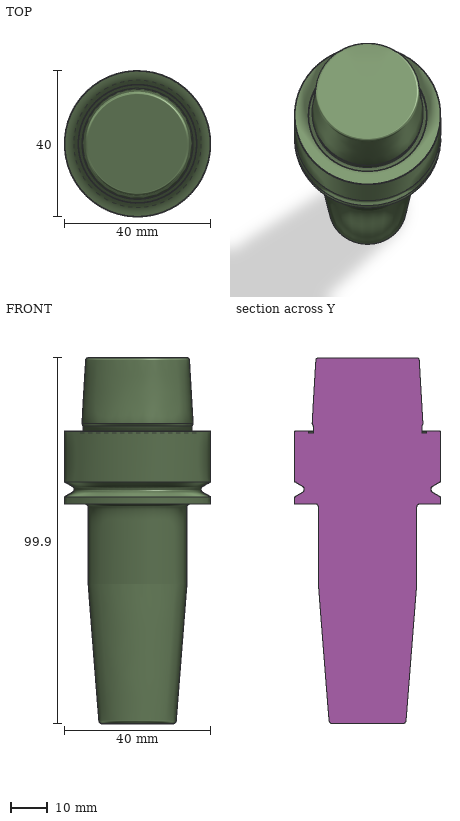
import cadquery as cq
import math

total_height = 99.9
flange_top = total_height - 20.0
flange_bottom = flange_top - 20.0

body_radius = 13.5
tip_radius = 10.6
tip_round = 1.0
taper_top = 38.1
neck_fillet = 0.8

flange_radius = 20.0
groove_floor_radius = 17.4
groove_lower_edge = flange_bottom + 2.0
groove_upper_edge = flange_top - 13.9
groove_wall_angle = math.radians(30)
groove_wall_rise = (flange_radius - groove_floor_radius) * math.tan(groove_wall_angle)
groove_floor_bottom = groove_lower_edge + groove_wall_rise
groove_floor_top = groove_upper_edge - groove_wall_rise
groove_fillet = 0.5
edge_chamfer = 0.15

recess_radius = 16.1
recess_depth = 0.5

shank_neck_radius = 14.9
shank_base_radius = 15.2
shank_top_radius = 14.2
shank_base = total_height - 18.0
undercut_bottom = shank_base - 0.7
shank_round = 0.7

arc_inset = 1.0 - math.sqrt(0.5)

profile = (
    cq.Workplane("XZ")
    .moveTo(0, 0)
    .lineTo(tip_radius - tip_round, 0)
    .threePointArc(
        (tip_radius - tip_round * arc_inset, tip_round * arc_inset),
        (tip_radius, tip_round),
    )
    .lineTo(body_radius, taper_top)
    .lineTo(body_radius, flange_bottom - neck_fillet)
    .threePointArc(
        (body_radius + neck_fillet * arc_inset, flange_bottom - neck_fillet * arc_inset),
        (body_radius + neck_fillet, flange_bottom),
    )
    .lineTo(flange_radius, flange_bottom)
    .lineTo(flange_radius, groove_lower_edge)
    .lineTo(groove_floor_radius, groove_floor_bottom)
    .lineTo(groove_floor_radius, groove_floor_top)
    .lineTo(flange_radius, groove_upper_edge)
    .lineTo(flange_radius, flange_top - edge_chamfer)
    .lineTo(flange_radius - edge_chamfer, flange_top)
    .lineTo(recess_radius + edge_chamfer, flange_top)
    .lineTo(recess_radius, flange_top - edge_chamfer)
    .lineTo(recess_radius, flange_top - recess_depth)
    .lineTo(shank_neck_radius, flange_top - recess_depth)
    .lineTo(shank_neck_radius, undercut_bottom)
    .lineTo(shank_base_radius, shank_base)
    .lineTo(shank_top_radius, total_height - shank_round)
    .threePointArc(
        (shank_top_radius - shank_round * arc_inset, total_height - shank_round * arc_inset),
        (shank_top_radius - shank_round, total_height),
    )
    .lineTo(0, total_height)
    .close()
)

body = profile.revolve(360, (0, 0, 0), (0, 1, 0))

groove_corners = cq.selectors.BoxSelector(
    (-flange_radius, -flange_radius, groove_floor_bottom - groove_fillet),
    (flange_radius, flange_radius, groove_floor_top + groove_fillet),
)
result = body.edges("%CIRCLE").edges(groove_corners).fillet(groove_fillet)